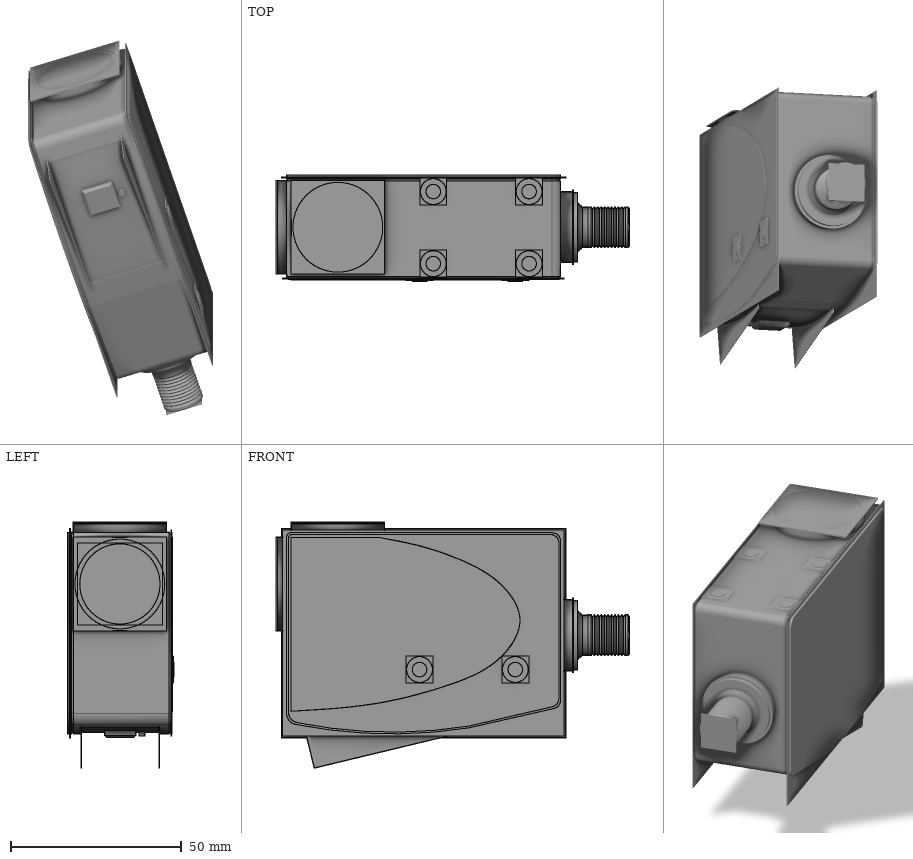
import cadquery as cq

length = 103.5
depth = 31.2
height = 72.0

body_left = 3.1
body_right = 83.3
body_top = 68.9
body_bottom = 10.0
bottom_low_x = 33.1
left_corner_z = 13.4
right_corner_z = 17.9
ramp_start_x = 56.4
ramp_start_z = 11.8
top_left_radius = 1.2
top_right_radius = 2.5
bottom_left_radius = 3.3
bottom_right_radius = 2.5
front_bevel = 0.5
seam_y = 29.4
seam_width = 0.6
seam_depth = 0.3

sheet = 0.2
front_sheet_y = 0.7
front_sheet_x = (2.0, 84.2)
front_sheet_z = (9.4, 69.6)
back_sheet_y = 30.3
back_sheet_x = (1.6, 84.9)
back_sheet_z = (8.9, 70.2)

trim_y = 0.6
panel_y = 0.5
label_y = 0.4
label_left = 4.5
label_top = 67.5
label_bottom = 16.7
label_top_end = 30.5
label_nose = [
    (42.4, 65.0),
    (54.8, 60.6),
    (67.0, 52.7),
    (71.4, 43.7),
    (66.3, 33.0),
    (50.2, 24.2),
    (30.7, 19.1),
    (label_left, label_bottom),
]

pad_side = 7.9
washer_diameter = 7.6
stud_diameter = 4.2
pad_step = 0.1
stud_step = 0.2
front_pad_y = pad_step + stud_step
front_pad_x = 42.0
front_pad_z = 28.9
top_pad_x = 46.1
top_pad_y = (5.2, 26.3)
top_pad_rise = 0.1
pad_pitch = 28.0
pad_root = 1.0

lens_diameter = 27.4
lens_bevel = 0.5
lens_y = 15.8
top_lens_x = 18.1
side_lens_z = 53.9
face_diameter = 26.3
face_step = 0.1
lens_plate = 0.4
window_width = 24.8
window_height = 24.0
window_diameter = 23.5

plug_y = 15.8
plug_z = 38.9
collar_diameter = 20.8
collar_end = 86.8
rim_diameter = 21.8
cap_diameter = 20.4
cap_end = 88.3
cone_diameter = 14.3
cone_end = 89.7
thread_diameter = 12.0
thread_depth = 0.6
neck_diameter = 11.8
neck_end = 91.3
thread_start = 92.2
thread_pitch = 1.0
thread_turns = 10
tip_bevel = 0.5
plug_root = 1.0

guide_y = (4.3, 27.1)
guide_tip_x = 11.2
guide_tilt = 13.5
guide_length = 41.4
guide_height = 15.5
recess_x = (9.8, 49.1)
recess_depth = 0.3
control_x = 24.8
control_root = 14.5
button_y = 15.7
button_width = 9.1
button_length = 8.3
button_bottom = 9.0
button_bevel = 0.6
lamp_y = (9.4, 12.6)
lamp_diameter = 1.8
lamp_bottom = 9.4


def block(x, y, z):
    """Box between pairs of limits along each axis."""
    size = (x[1] - x[0], y[1] - y[0], z[1] - z[0])
    return cq.Workplane("XY").box(*size, centered=False).translate((x[0], y[0], z[0]))


def outline(y_start, y_end, inset=0.0):
    """Slab with the housing outline: an arched underside that ramps up at the right."""
    left = body_left + inset
    right = body_right - inset
    top = body_top - inset
    corners = [
        (left, top, top_left_radius),
        (right, top, top_right_radius),
        (left, left_corner_z + inset, bottom_left_radius),
        (right, right_corner_z + inset, bottom_right_radius),
    ]
    slab = (
        cq.Workplane("XZ", origin=(0, y_end, 0))
        .moveTo(left, top)
        .lineTo(left, left_corner_z + inset)
        .threePointArc((bottom_low_x, body_bottom + inset), (ramp_start_x, ramp_start_z + inset))
        .lineTo(right, right_corner_z + inset)
        .lineTo(right, top)
        .close()
        .extrude(y_end - y_start)
    )
    middle_y = (y_start + y_end) / 2
    for x, z, radius in corners:
        slab = slab.edges(cq.NearestToPointSelector((x, middle_y, z))).fillet(radius)
    return slab


def housing():
    """Main body with a bevelled front rim, a seam near the back and a shallow recess underneath."""
    bevel_y = front_sheet_y + sheet
    body = outline(bevel_y, depth).faces("<Y").chamfer(front_bevel)
    band = (seam_y, seam_y + seam_width)
    seam = outline(*band).cut(outline(*band, inset=seam_depth))
    recess = outline(*guide_y).cut(outline(*guide_y, inset=recess_depth))
    recess = recess.intersect(block(recess_x, guide_y, (0, guide_height)))
    return body.cut(seam).cut(recess)


def label():
    """Raised label with a long rounded nose pointing to the connector."""
    return (
        cq.Workplane("XZ", origin=(0, trim_y, 0))
        .moveTo(label_left, label_top)
        .lineTo(label_top_end, label_top)
        .spline(label_nose, includeCurrent=True)
        .close()
        .extrude(trim_y - label_y)
    )


def mounting_point(plane, rise):
    """Square pad, round washer and stud, stacked outward from the plane."""
    pad = plane.workplane(offset=-pad_root).rect(pad_side, pad_side).extrude(pad_root + rise)
    washer_rise = rise + pad_step
    washer = plane.circle(washer_diameter / 2).extrude(washer_rise)
    stud = plane.circle(stud_diameter / 2).extrude(washer_rise + stud_step)
    return pad.union(washer).union(stud)


def lens(plane, rise):
    """Bevelled round lens on a housing face, ending in a thin square plate with a sunk round face."""
    barrel = plane.circle(lens_diameter / 2).extrude(rise - lens_bevel)
    bevel = plane.workplane(offset=rise - lens_bevel).circle(lens_diameter / 2)
    bevel = bevel.workplane(offset=lens_bevel).circle(face_diameter / 2).loft()
    plate = plane.workplane(offset=rise - lens_plate).rect(lens_diameter, lens_diameter).extrude(lens_plate)
    face = plane.workplane(offset=rise - face_step).circle(face_diameter / 2).extrude(face_step)
    return barrel.union(bevel).union(plate).cut(face)


def side_window():
    """Recess of the side lens: a square, stepped down again inside each of two circles."""
    plane = cq.Workplane("YZ", origin=(0, lens_y, side_lens_z))
    square = plane.rect(window_width, window_height).extrude(face_step)
    face = plane.circle(face_diameter / 2).extrude(2 * face_step)
    overlap = plane.rect(window_width, window_height).extrude(2 * face_step).intersect(face)
    window = plane.circle(window_diameter / 2).extrude(3 * face_step)
    return square.union(overlap).union(window)


def connector():
    """Turned plug: collar, thin rim, cap, cone and threaded end with a square tip plate."""
    thread_radius = thread_diameter / 2
    root_radius = thread_radius - thread_depth
    profile = (
        cq.Workplane("XY")
        .moveTo(body_right - plug_root, 0)
        .lineTo(body_right - plug_root, collar_diameter / 2)
        .lineTo(collar_end, collar_diameter / 2)
        .lineTo(collar_end, rim_diameter / 2)
        .lineTo(collar_end + sheet, rim_diameter / 2)
        .lineTo(collar_end + sheet, cap_diameter / 2)
        .lineTo(cap_end, cap_diameter / 2)
        .lineTo(cap_end, cone_diameter / 2)
        .lineTo(cone_end, neck_diameter / 2)
        .lineTo(neck_end, neck_diameter / 2)
        .lineTo(neck_end, thread_radius)
        .lineTo(thread_start, thread_radius)
    )
    for turn in range(thread_turns):
        groove_x = thread_start + turn * thread_pitch
        profile = (
            profile.lineTo(groove_x + thread_pitch / 2, root_radius)
            .lineTo(groove_x + thread_pitch, thread_radius)
        )
    profile = (
        profile.lineTo(length - tip_bevel, thread_radius)
        .lineTo(length, thread_radius - tip_bevel)
        .lineTo(length, 0)
        .close()
    )
    plug = profile.revolve(360, (0, 0, 0), (1, 0, 0))
    half_tip = thread_radius - tip_bevel
    tip_plate = block((length - sheet, length), (-half_tip, half_tip), (-half_tip, half_tip))
    return plug.union(tip_plate).translate((0, plug_y, plug_z))


def guide_plate(y):
    """Thin tilted plate whose lower left corner reaches Z = 0."""
    plate = block((0, guide_length), (y - sheet / 2, y + sheet / 2), (0, guide_height))
    return plate.rotate((0, 0, 0), (0, 1, 0), -guide_tilt).translate((guide_tip_x, 0, 0))


def button():
    """Rectangular button with a bevelled lower face."""
    half_length = button_length / 2
    half_width = button_width / 2
    box = block(
        (control_x - half_length, control_x + half_length),
        (button_y - half_width, button_y + half_width),
        (button_bottom, control_root),
    )
    return box.faces("<Z").chamfer(button_bevel)


def lamp(y):
    """Small round lamp beside the button."""
    base = cq.Workplane("XY", origin=(control_x, y, lamp_bottom))
    return base.circle(lamp_diameter / 2).extrude(control_root - lamp_bottom)


result = housing()
result = result.union(block(front_sheet_x, (front_sheet_y, front_sheet_y + sheet), front_sheet_z))
result = result.union(block(back_sheet_x, (back_sheet_y, back_sheet_y + sheet), back_sheet_z))
result = result.union(outline(trim_y, front_sheet_y))
result = result.union(outline(panel_y, trim_y, inset=front_bevel))
result = result.union(label())

for column in range(2):
    shift = column * pad_pitch
    front_plane = cq.Workplane("XZ", origin=(front_pad_x + shift, panel_y, front_pad_z))
    result = result.union(mounting_point(front_plane, panel_y - front_pad_y))
    for pad_y in top_pad_y:
        top_plane = cq.Workplane("XY", origin=(top_pad_x + shift, pad_y, body_top))
        result = result.union(mounting_point(top_plane, top_pad_rise))

top_lens_plane = cq.Workplane("XY", origin=(top_lens_x, lens_y, body_top))
result = result.union(lens(top_lens_plane, height - body_top))
side_plane = cq.Plane(origin=(body_left, lens_y, side_lens_z), xDir=(0, 1, 0), normal=(-1, 0, 0))
result = result.union(lens(cq.Workplane(side_plane), body_left).cut(side_window()))

result = result.union(connector())

for plate_y in guide_y:
    result = result.union(guide_plate(plate_y))
result = result.union(button())
for position in lamp_y:
    result = result.union(lamp(position))